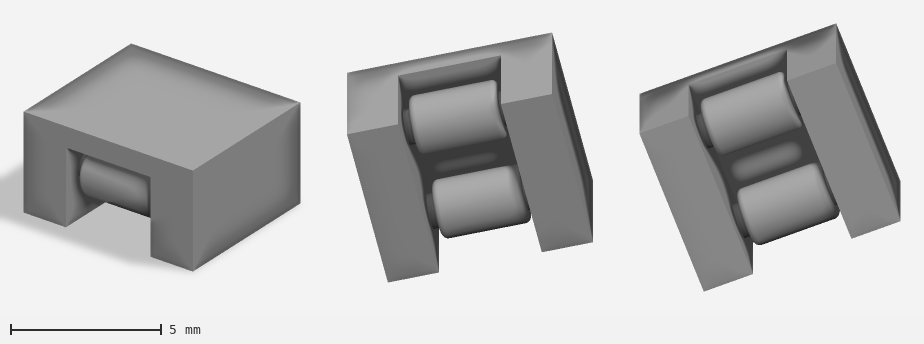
import cadquery as cq

LENGTH = 7.0
WIDTH = 6.0
HEIGHT = 3.8
CHANNEL_LENGTH = LENGTH / 2
LEG_LENGTH = (LENGTH - CHANNEL_LENGTH) / 2
ROOF_THICKNESS = 0.8
CHANNEL_HEIGHT = HEIGHT - ROOF_THICKNESS

BAR_DIAMETER = 1.2
BAR_OFFSET_Y = 1.7
BAR_Z = 1.8
WINDING_DIAMETER = 2.0
WINDING_LENGTH = 3.0
WINDING_FILLET = 0.2

PAD_WIDTH = WIDTH / 4
PAD_HEIGHT = 1.0
PAD_SPACING = WIDTH / 2

SIDES = (-1, 1)


def make_box(length, width, height):
    """Box centred in X and Y, standing on Z = 0."""
    return cq.Workplane("XY").box(length, width, height, centered=(True, True, False))


def make_rod(diameter, length, y_side):
    """Cylinder along X on the bar axis at the side given by the sign y_side, centred in X."""
    return (
        cq.Workplane("YZ", origin=(-length / 2, y_side * BAR_OFFSET_Y, BAR_Z))
        .circle(diameter / 2)
        .extrude(length)
    )


def make_bar(y_side):
    """Bar spanning the channel from leg to leg."""
    return make_rod(BAR_DIAMETER, CHANNEL_LENGTH, y_side)


def make_pad(x_side, y_side):
    """Contact pad in the leg and side given by the signs x_side and y_side."""
    pad_x = x_side * (LENGTH - LEG_LENGTH) / 2
    pad_y = y_side * PAD_SPACING / 2
    return make_box(LEG_LENGTH, PAD_WIDTH, PAD_HEIGHT).translate((pad_x, pad_y, 0))


def make_housing(pads):
    """Channelled block with its two bars and a matching recess for each pad."""
    housing = make_box(LENGTH, WIDTH, HEIGHT)
    housing = housing.cut(make_box(CHANNEL_LENGTH, WIDTH, CHANNEL_HEIGHT))
    for y_side in SIDES:
        housing = housing.union(make_bar(y_side))
    for pad in pads:
        housing = housing.cut(pad)
    return housing.solids()


def make_winding(y_side):
    """Sleeve with rounded outer edges that fits around a bar."""
    sleeve = make_rod(WINDING_DIAMETER, WINDING_LENGTH, y_side)
    sleeve = sleeve.edges("%CIRCLE").fillet(WINDING_FILLET)
    return sleeve.cut(make_bar(y_side)).solids()


pads = [make_pad(x_side, y_side) for x_side in SIDES for y_side in SIDES]
windings = [make_winding(y_side) for y_side in SIDES]
housing = make_housing(pads)

result = cq.Compound.makeCompound(
    [housing.val(), *[winding.val() for winding in windings], *[pad.val() for pad in pads]]
)